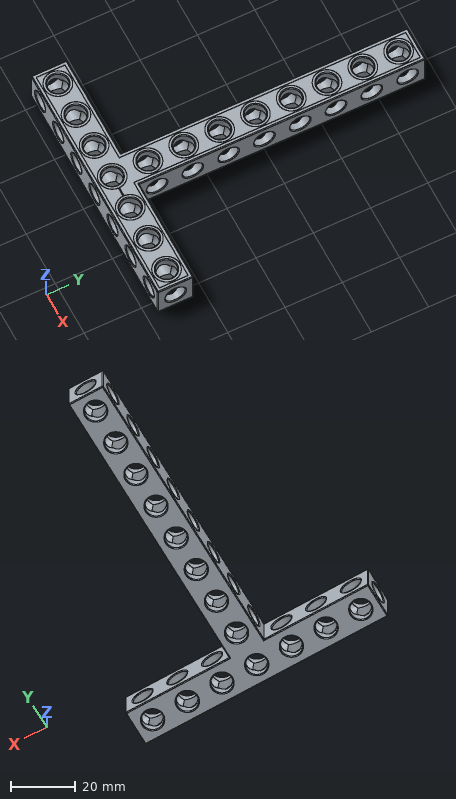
import cadquery as cq


part_length = 112.5
bar_cells = 7
stem_cells = 8
hole_diameter = 7.0
edge_chamfer = 0.3
rim_width = 1.2
recess_depth = 0.1
lip_diameter = 9.2
rib_width = 0.3

pitch = part_length / (stem_cells + 1)
half_pitch = pitch / 2
bar_half_length = bar_cells * pitch / 2
stem_end = stem_cells * pitch + half_pitch

bar_positions = [(i - (bar_cells - 1) / 2) * pitch for i in range(bar_cells)]
stem_positions = [i * pitch for i in range(1, stem_cells + 1)]
vertical_holes = [(x, 0) for x in bar_positions] + [(0, y) for y in stem_positions]


def tee_plate(base_z, height, inset=0):
    """T-shaped plate whose outline lies inside the beam outline by the inset."""
    half_width = half_pitch - inset
    bar_end = bar_half_length - inset
    outline = [
        (-bar_end, -half_width),
        (bar_end, -half_width),
        (bar_end, half_width),
        (half_width, half_width),
        (half_width, stem_end - inset),
        (-half_width, stem_end - inset),
        (-half_width, half_width),
        (-bar_end, half_width),
    ]
    return cq.Workplane("XY", origin=(0, 0, base_z)).polyline(outline).close().extrude(height)


def hole_cutter(start, end):
    """Cylinder from start to end, flared at both mouths by the edge chamfer."""
    first = cq.Vector(*start)
    last = cq.Vector(*end)
    axis = (last - first).normalized()
    radius = hole_diameter / 2
    mouth_radius = radius + edge_chamfer
    bore = cq.Solid.makeCylinder(radius, (last - first).Length, first, axis)
    first_mouth = cq.Solid.makeCone(mouth_radius, radius, edge_chamfer, first, axis)
    last_mouth = cq.Solid.makeCone(mouth_radius, radius, edge_chamfer, last, axis * -1)
    return cq.Workplane(bore.fuse(first_mouth, last_mouth))


def top_recess():
    """Floor inside the rim, leaving a ring around every vertical hole and one rib."""
    floor_z = pitch - recess_depth
    rings = (
        cq.Workplane("XY", origin=(0, 0, floor_z))
        .pushPoints(vertical_holes)
        .circle(lip_diameter / 2)
        .extrude(recess_depth)
    )
    rib = (
        cq.Workplane("XY", origin=(half_pitch, 0, floor_z))
        .rect(pitch, rib_width)
        .extrude(recess_depth)
    )
    return tee_plate(floor_z, recess_depth, rim_width).cut(rings).cut(rib)


def chamfered_beam():
    """Solid beam with every edge chamfered except the two inside corners of the T."""
    beam = tee_plate(0, pitch)
    corner_zone = cq.selectors.BoxSelector((-pitch, 0, 0), (pitch, pitch, pitch))
    upright = cq.selectors.ParallelDirSelector(cq.Vector(0, 0, 1))
    inside_corners = cq.selectors.AndSelector(upright, corner_zone)
    return beam.edges(cq.selectors.InverseSelector(inside_corners)).chamfer(edge_chamfer)


result = chamfered_beam()
result = result.cut(top_recess())

for x, y in vertical_holes:
    result = result.cut(hole_cutter((x, y, 0), (x, y, pitch)))

for x in bar_positions:
    far_y = stem_end if x == 0 else half_pitch
    result = result.cut(hole_cutter((x, -half_pitch, half_pitch), (x, far_y, half_pitch)))

result = result.cut(hole_cutter((-bar_half_length, 0, half_pitch), (bar_half_length, 0, half_pitch)))
for y in stem_positions:
    result = result.cut(hole_cutter((-half_pitch, y, half_pitch), (half_pitch, y, half_pitch)))